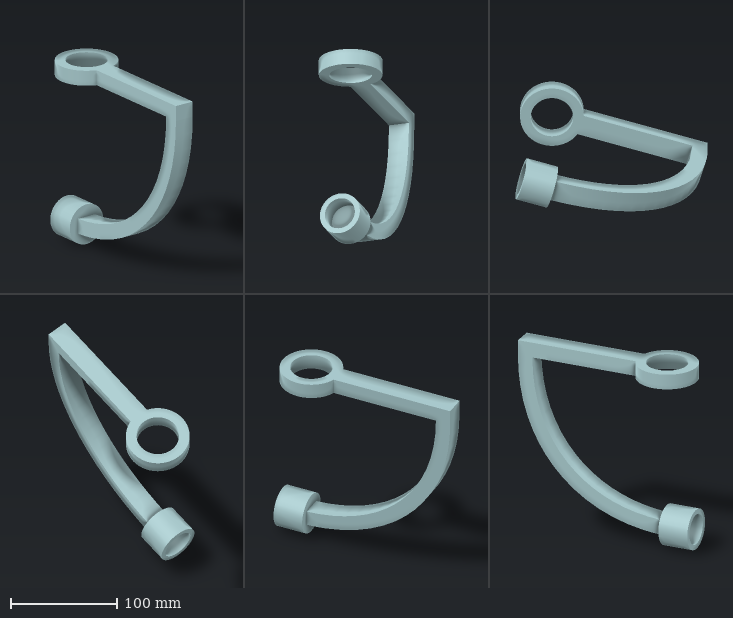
import cadquery as cq

total_height = 185.0
total_length = 180.0
ring_diameter = 60.0
ring_bore = 40.0
bar_width = 20.0
bar_thickness = 15.0
cup_diameter = 40.0
cup_bore = 30.0
cup_length = 30.0
cup_depth = 20.0
arm_fullness = 0.6

ring_x = ring_diameter / 2
bar_bottom = total_height - bar_thickness
cup_axis_z = cup_diameter / 2
arm_drop = bar_bottom - cup_axis_z
arm_top_x = total_length - bar_thickness / 2
arm_bottom_x = arm_top_x - arm_drop
arm_handle = arm_fullness * arm_drop


def make_ring():
    """Flat ring at the free end of the straight bar."""
    return cq.Workplane("XY", origin=(ring_x, 0, bar_bottom)).circle(ring_diameter / 2).extrude(bar_thickness)


def make_bar():
    """Straight horizontal bar from the ring centre to the far corner."""
    return (
        cq.Workplane("XY", origin=(ring_x, 0, bar_bottom))
        .box(total_length - ring_x, bar_width, bar_thickness, centered=(False, True, False))
    )


def make_curved_arm():
    """Rectangular arm swept from the underside of the bar into the cup floor.

    The centre line is a Bezier curve that starts vertical and ends horizontal.
    """
    centre_line = cq.Workplane("XZ").bezier(
        [
            (arm_top_x, bar_bottom),
            (arm_top_x, bar_bottom - arm_handle),
            (arm_bottom_x + arm_handle, cup_axis_z),
            (arm_bottom_x, cup_axis_z),
        ]
    )
    return (
        cq.Workplane("XY", origin=(arm_top_x, 0, bar_bottom))
        .rect(bar_thickness, bar_width)
        .sweep(centre_line)
    )


def make_cup():
    """Round cup with its axis along X."""
    return cq.Workplane("YZ", origin=(0, 0, cup_axis_z)).circle(cup_diameter / 2).extrude(cup_length)


ring_hole = (
    cq.Workplane("XY", origin=(ring_x, 0, bar_bottom)).circle(ring_bore / 2).extrude(bar_thickness)
)
cup_hole = cq.Workplane("YZ", origin=(0, 0, cup_axis_z)).circle(cup_bore / 2).extrude(cup_depth)

frame = make_bar().union(make_ring()).cut(ring_hole)
result = frame.union(make_curved_arm()).union(make_cup()).cut(cup_hole)